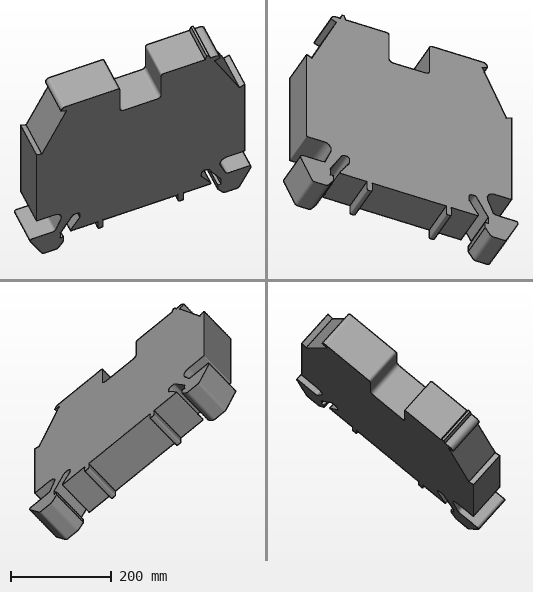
import cadquery as cq
import math

thickness = 80.0
length = 477.2
height = 463.5

body_half = 225.5
body_base_z = 43.5
shelf_z = 113.5
body_corner_radius = 2.0

ledge_tip_z = 330.3
shoulder_low = (213.5, 325.5)
shoulder_high = (160.0, 439.5)
lip_tip = (172.0, 444.0)
lip_top_half = 169.5
lip_radius = 10.0
top_z = 454.0

notch_half = 44.5
notch_floor_z = 378.5
notch_mouth_radius = 5.5
notch_floor_radius = 8.5

neck_top_half = 164.0
neck_bottom_half = 185.0
neck_top_radius = 15.5
neck_bottom_radius = 7.5
slot_top_z = 94.0
slot_inner_half = 131.2
slot_outer_half = 146.0
slot_bend_z = 78.5
slot_radius = 6.5
base_half = 153.5
base_corner_radius = 2.5

foot_top_z = 60.0
foot_wall_half = 173.2
foot_wall_top_z = 47.5
hook_half = 166.5
hook_top_z = 32.0
hook_bottom_z = 18.0
sole_inner_half = 179.5
sole_inner_radius = 9.5
sole_outer_radius = 7.0
foot_tip_radius = 5.2
foot_side_angle = math.radians(63.4)
foot_tip_half = length / 2 + foot_tip_radius * (1 / math.tan(foot_side_angle / 2) - 1)
sole_outer_half = foot_tip_half - foot_top_z / math.tan(foot_side_angle)

peg_center = 87.0
peg_width = 11.5
peg_bottom_z = 21.5
peg_radius = 3.5
nib_center = 145.0
nib_base_width = 11.5
nib_top_width = 5.0


def extrude_profile(points):
    """Extrude a closed (Y, Z) outline through the thickness, centred on X = 0."""
    return cq.Workplane("YZ").polyline(points).close().extrude(thickness / 2, both=True)


def round_corner(solid, corner, radius):
    """Round the edge along X that passes through a (Y, Z) corner."""
    y, z = corner
    return solid.edges("|X").edges(cq.NearestToPointSelector((0, y, z))).fillet(radius)


def make_half_body():
    """Half of the symmetric body, on the +Y side; each corner has its radius (0 = sharp)."""
    corners = [
        ((0, body_base_z), 0),
        ((base_half, body_base_z), base_corner_radius),
        ((slot_inner_half, slot_bend_z), 0),
        ((slot_inner_half, slot_top_z), slot_radius),
        ((slot_outer_half, slot_top_z), slot_radius),
        ((foot_wall_half, foot_wall_top_z), 0),
        ((foot_wall_half, hook_top_z), 0),
        ((hook_half, hook_top_z), 0),
        ((hook_half, hook_bottom_z), 0),
        ((sole_inner_half, 0), sole_inner_radius),
        ((sole_outer_half, 0), sole_outer_radius),
        ((foot_tip_half, foot_top_z), foot_tip_radius),
        ((neck_bottom_half, foot_top_z), neck_bottom_radius),
        ((neck_top_half, shelf_z), neck_top_radius),
        ((body_half, shelf_z), body_corner_radius),
        ((body_half, ledge_tip_z), 0),
        (shoulder_low, 0),
        (shoulder_high, 0),
        (lip_tip, 0),
        ((lip_top_half, top_z), lip_radius),
        ((notch_half, top_z), notch_mouth_radius),
        ((notch_half, notch_floor_z), notch_floor_radius),
        ((0, notch_floor_z), 0),
    ]
    half = extrude_profile([point for point, _ in corners])
    for point, radius in corners:
        if radius > 0:
            half = round_corner(half, point, radius)
    return half


def make_peg(center):
    """Straight peg with a rounded lower end."""
    left = center - peg_width / 2
    right = center + peg_width / 2
    peg = extrude_profile(
        [(left, peg_bottom_z), (right, peg_bottom_z), (right, body_base_z), (left, body_base_z)]
    )
    for y in (left, right):
        peg = round_corner(peg, (y, peg_bottom_z), peg_radius)
    return peg


def make_nib():
    """Tapered nib on the +Y side of the top face."""
    return extrude_profile([
        (nib_center - nib_base_width / 2, top_z),
        (nib_center + nib_base_width / 2, top_z),
        (nib_center + nib_top_width / 2, height),
        (nib_center - nib_top_width / 2, height),
    ])


half_body = make_half_body()
result = half_body.union(half_body.mirror("XZ"))
for side in (-1, 1):
    result = result.union(make_peg(side * peg_center))
result = result.union(make_nib()).clean()